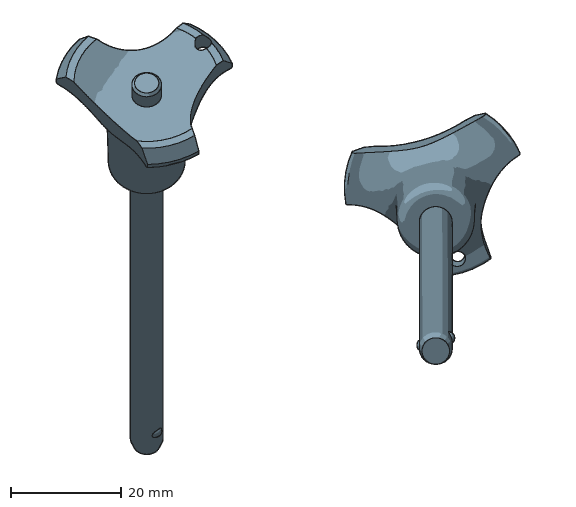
import cadquery as cq
import math


total_length = 113.7
handle_height = 26.4
shank_length = total_length - handle_height

rim_radius = 16.6
rim_inner_radius = 13.2
rim_outer_radius = 14.7
rim_bevel_height = 2.4
rim_thickness = 3.8
rim_edge_round = 0.6

dish_depth = 4.3
dish_sphere_radius = (rim_inner_radius**2 + dish_depth**2) / (2 * dish_depth)
button_seat_radius = 3.6

grip_top_radius = 7.25
grip_bottom_radius = 7.0
grip_end_round = 1.75
flare_radius = 8.3

button_radius = 2.7
button_top_gap = 0.3
button_chamfer = 0.5

side_scallop_radius = 14.7
side_scallop_x = 20.2
side_scallop_y = 12.4
front_scallop_depth_y = -9.2
front_scallop_corner_y = -10.8

lanyard_hole_radius = 1.5
lanyard_hole_y = 13.6

shank_radius = 3.0
nose_length = 1.75
nose_tip_radius = 2.5
ball_radius = 1.2
ball_reach = 3.55
ball_height = 6.4


def dish_z(radius):
    """Height of the spherical dish surface at a distance from the axis."""
    sphere_centre_z = handle_height - dish_depth + dish_sphere_radius
    return sphere_centre_z - math.sqrt(dish_sphere_radius**2 - radius**2)


def make_handle_blank():
    """Round mushroom-shaped handle with a dished top, before the scallops are cut."""
    seat_z = dish_z(button_seat_radius)
    dish_middle_radius = (button_seat_radius + rim_inner_radius) / 2
    rim_bottom_z = handle_height - rim_thickness
    bevel_z = handle_height - rim_bevel_height
    edge_round_z = rim_bottom_z + rim_edge_round
    flare_end_radius = grip_top_radius + flare_radius
    flare_bottom_z = rim_bottom_z - flare_radius
    flare_middle_offset = flare_radius * math.sqrt(0.5)
    flare_middle = (flare_end_radius - flare_middle_offset, flare_bottom_z + flare_middle_offset)
    profile = (
        cq.Workplane("XZ")
        .moveTo(0, 0)
        .lineTo(grip_bottom_radius - grip_end_round, 0)
        .tangentArcPoint((grip_bottom_radius, grip_end_round), relative=False)
        .lineTo(grip_top_radius, flare_bottom_z)
        .threePointArc(flare_middle, (flare_end_radius, rim_bottom_z))
        .lineTo(rim_radius - rim_edge_round, rim_bottom_z)
        .tangentArcPoint((rim_radius, edge_round_z), relative=False)
        .lineTo(rim_radius, bevel_z)
        .lineTo(rim_outer_radius, handle_height)
        .lineTo(rim_inner_radius, handle_height)
        .threePointArc((dish_middle_radius, dish_z(dish_middle_radius)), (button_seat_radius, seat_z))
        .lineTo(0, seat_z)
        .close()
    )
    return profile.revolve(360, (0, 0, 0), (0, 1, 0))


def make_scallops():
    """Vertical cutters: one on each side and a shallower one at the front."""
    side_centres = [(-side_scallop_x, side_scallop_y), (side_scallop_x, side_scallop_y)]
    sides = cq.Workplane("XY").pushPoints(side_centres).circle(side_scallop_radius).extrude(handle_height)
    corner_x = math.sqrt(rim_radius**2 - front_scallop_corner_y**2)
    sagitta = front_scallop_depth_y - front_scallop_corner_y
    front_scallop_radius = (corner_x**2 + sagitta**2) / (2 * sagitta)
    front = (
        cq.Workplane("XY")
        .center(0, front_scallop_depth_y - front_scallop_radius)
        .circle(front_scallop_radius)
        .extrude(handle_height)
    )
    return sides.union(front)


def make_handle():
    lanyard_hole = (
        cq.Workplane("XY").center(0, lanyard_hole_y).circle(lanyard_hole_radius).extrude(handle_height)
    )
    return make_handle_blank().cut(make_scallops()).cut(lanyard_hole)


def make_button():
    """Chamfered release button standing in the dish."""
    button_height = handle_height - button_top_gap
    return cq.Workplane("XY").circle(button_radius).extrude(button_height).faces(">Z").chamfer(button_chamfer)


def make_shank():
    """Round shank ending in a tapered nose."""
    nose_top_z = nose_length - shank_length
    profile = (
        cq.Workplane("XZ")
        .moveTo(0, handle_height / 2)
        .lineTo(shank_radius, handle_height / 2)
        .lineTo(shank_radius, nose_top_z)
        .lineTo(nose_tip_radius, -shank_length)
        .lineTo(0, -shank_length)
        .close()
    )
    return profile.revolve(360, (0, 0, 0), (0, 1, 0))


def make_balls():
    """Two locking balls on opposite sides of the shank."""
    offset = ball_reach - ball_radius
    centres = [(-offset, 0), (offset, 0)]
    return cq.Workplane("XY", origin=(0, 0, ball_height - shank_length)).pushPoints(centres).sphere(ball_radius)


result = make_handle().union(make_button()).union(make_shank()).union(make_balls())